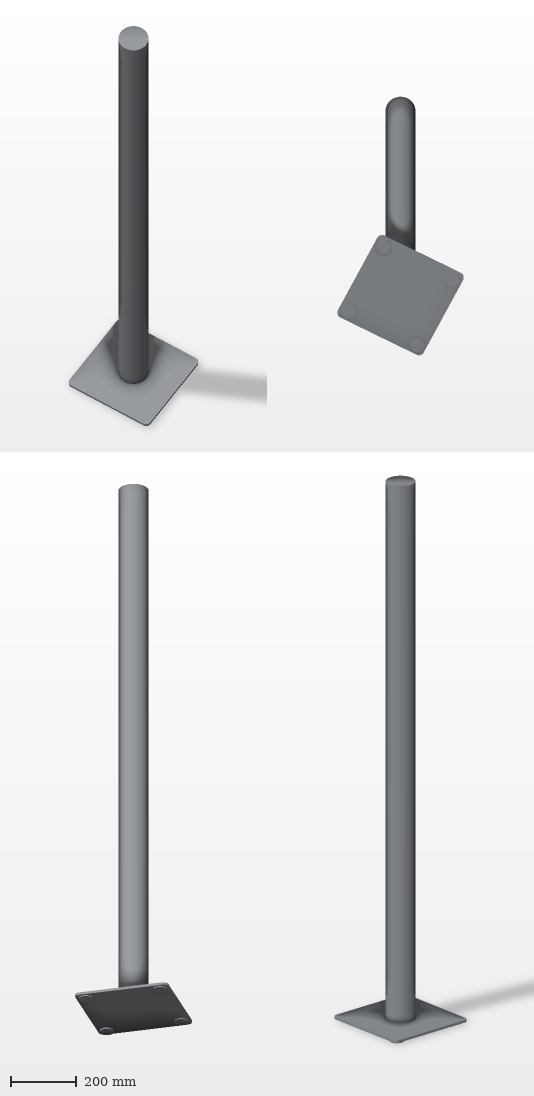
import cadquery as cq

TOTAL_HEIGHT = 1755
PLATE_SIDE = 293.0
PLATE_THICKNESS = 8.0
PLATE_CORNER_RADIUS = 15.0

PAD_DIAMETER = 44.0
PAD_THICKNESS = 3.0
PAD_EDGE_MARGIN = 7.0

TUBE_DIAMETER = 91.0
CORE_DIAMETER = 70.0

UPPER_PAD_Z = PAD_THICKNESS
PLATE_Z = UPPER_PAD_Z + PAD_THICKNESS
POST_Z = PLATE_Z + PLATE_THICKNESS
POST_HEIGHT = TOTAL_HEIGHT - POST_Z
PAD_OFFSET = PLATE_SIDE / 2 - PAD_EDGE_MARGIN - PAD_DIAMETER / 2


def make_plate():
    """Square base plate with rounded corners."""
    return (
        cq.Workplane("XY", origin=(0, 0, PLATE_Z))
        .rect(PLATE_SIDE, PLATE_SIDE)
        .extrude(PLATE_THICKNESS)
        .edges("|Z")
        .fillet(PLATE_CORNER_RADIUS)
    )


def make_tube():
    """Round tube standing on the plate."""
    return (
        cq.Workplane("XY", origin=(0, 0, POST_Z))
        .circle(TUBE_DIAMETER / 2)
        .circle(CORE_DIAMETER / 2)
        .extrude(POST_HEIGHT)
    )


def make_core():
    """Solid core that fills the tube, flush with its top."""
    return (
        cq.Workplane("XY", origin=(0, 0, POST_Z))
        .circle(CORE_DIAMETER / 2)
        .extrude(POST_HEIGHT)
    )


def make_pad(x, y, z):
    """Round foot pad whose underside is at height z."""
    return cq.Workplane("XY", origin=(x, y, z)).circle(PAD_DIAMETER / 2).extrude(PAD_THICKNESS)


plate = make_plate()
tube = make_tube()
core = make_core()

pads = []
for x in (-PAD_OFFSET, PAD_OFFSET):
    for y in (-PAD_OFFSET, PAD_OFFSET):
        pads.append(make_pad(x, y, UPPER_PAD_Z))
pads.append(make_pad(PAD_OFFSET, PAD_OFFSET, 0))

result = cq.Compound.makeCompound(
    [plate.val(), tube.val(), core.val(), *[pad.val() for pad in pads]]
)